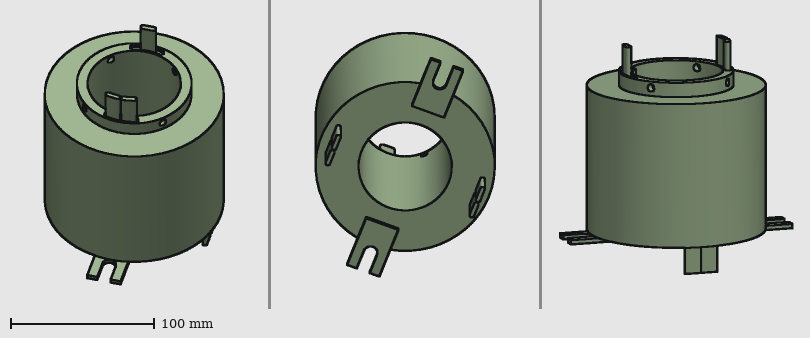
import cadquery as cq
import math

body_diameter = 125.0
body_height = 102.7
collar_diameter = 80.0
collar_height = 10.3
bore_diameter = 65.0
collar_top = body_height + collar_height

radial_hole_diameter = 5.0
radial_hole_depth_from_top = 4.5
radial_hole_angles = (45, 135, 225, 315)

pocket_radius = 36.2
pocket_width = 4.5
pocket_span = 24.5
pocket_depth = 2.0

upper_terminal_height = 20.0
single_terminal_width = 11.1
single_terminal_thickness = 3.9
single_terminal_offset = 0.5
paired_terminal_span = 22.5
paired_terminal_thickness = 3.6
paired_terminal_gap = 0.7

lower_terminal_height = 20.0
lower_terminal_width = 11.9
lower_terminal_thickness = 3.3
lower_terminal_radius = 53.8
lower_terminal_gap = 0.2

overall_length = 163.0
foot_length = 37.0
foot_width = 24.1
foot_thickness = 3.1
foot_slot_width = 9.6
foot_slot_depth = 18.9


def polar(radius, angle):
    """Point in the XY plane at an angle in degrees from +X."""
    return (
        radius * math.cos(math.radians(angle)),
        radius * math.sin(math.radians(angle)),
    )


def curved_slot(radius, width, start_angle, end_angle, height):
    """Round-ended bar that follows an arc about the Z axis, rising from Z = 0."""
    inner = radius - width / 2
    outer = radius + width / 2
    middle_angle = (start_angle + end_angle) / 2
    cap_angle = math.degrees(width / 2 / radius)
    return (
        cq.Workplane("XY")
        .moveTo(*polar(outer, start_angle))
        .threePointArc(polar(outer, middle_angle), polar(outer, end_angle))
        .threePointArc(polar(radius, end_angle + cap_angle), polar(inner, end_angle))
        .threePointArc(polar(inner, middle_angle), polar(inner, start_angle))
        .threePointArc(polar(radius, start_angle - cap_angle), polar(outer, start_angle))
        .close()
        .extrude(height)
    )


def cap_centre_angle(x_offset):
    """Angle away from the Y axis of a point on the pocket arc at this X."""
    return math.degrees(math.asin(x_offset / pocket_radius))


def make_sleeve():
    body = cq.Workplane("XY").circle(body_diameter / 2).extrude(body_height)
    collar = cq.Workplane("XY").circle(collar_diameter / 2).extrude(collar_top)
    bore = cq.Workplane("XY").circle(bore_diameter / 2).extrude(collar_top)
    return body.union(collar).cut(bore)


def make_radial_holes():
    holes = cq.Workplane("XY")
    for angle in radial_hole_angles:
        hole = (
            cq.Workplane("YZ")
            .circle(radial_hole_diameter / 2)
            .extrude(collar_diameter)
            .rotate((0, 0, 0), (0, 0, 1), angle)
        )
        holes = holes.add(hole)
    return holes.combine().translate((0, 0, collar_top - radial_hole_depth_from_top))


def make_pocket(direction):
    half_angle = cap_centre_angle((pocket_span - pocket_width) / 2)
    return curved_slot(
        pocket_radius, pocket_width, direction - half_angle, direction + half_angle, pocket_depth
    ).translate((0, 0, collar_top - pocket_depth))


def make_single_terminal():
    return (
        cq.Workplane("XY")
        .workplane(offset=collar_top - pocket_depth)
        .center(single_terminal_offset, pocket_radius)
        .slot2D(single_terminal_width, single_terminal_thickness)
        .extrude(pocket_depth + upper_terminal_height)
    )


def make_paired_terminals():
    near_angle = cap_centre_angle((paired_terminal_gap + paired_terminal_thickness) / 2)
    far_angle = cap_centre_angle((paired_terminal_span - paired_terminal_thickness) / 2)
    right = curved_slot(
        pocket_radius,
        paired_terminal_thickness,
        near_angle - 90,
        far_angle - 90,
        pocket_depth + upper_terminal_height,
    ).translate((0, 0, collar_top - pocket_depth))
    return right.union(right.mirror("YZ"))


def make_lower_terminals():
    pitch = lower_terminal_width + lower_terminal_gap
    return (
        cq.Workplane("XY")
        .rarray(2 * lower_terminal_radius, pitch, 2, 2)
        .slot2D(lower_terminal_width, lower_terminal_thickness, 90)
        .extrude(-lower_terminal_height)
    )


def make_foot():
    """Foot on the +Y side, with a round-ended slot open at its outer end."""
    outer_end = overall_length / 2
    plate = (
        cq.Workplane("XY")
        .center(0, outer_end - foot_length / 2)
        .rect(foot_width, foot_length)
        .extrude(-foot_thickness)
    )
    slot = (
        cq.Workplane("XY")
        .center(0, outer_end)
        .slot2D(2 * foot_slot_depth, foot_slot_width, 90)
        .extrude(-foot_thickness)
    )
    return plate.cut(slot)


foot = make_foot()

result = (
    make_sleeve()
    .cut(make_radial_holes())
    .cut(make_pocket(90))
    .cut(make_pocket(-90))
    .union(make_single_terminal())
    .union(make_paired_terminals())
    .union(make_lower_terminals())
    .union(foot)
    .union(foot.mirror("XZ"))
)